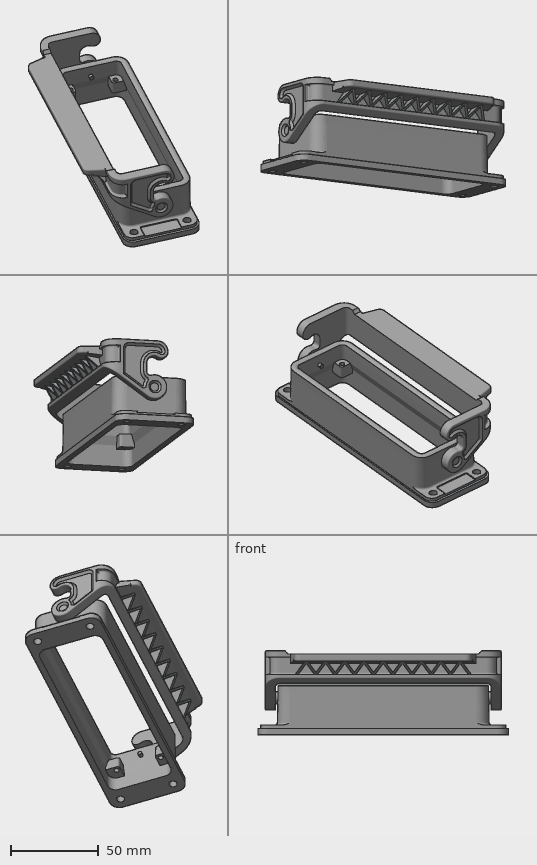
import cadquery as cq
import math

FLANGE_X, FLANGE_Y = 142.5, 45.7
FLANGE_TOP = 3.65
FLANGE_CORNER = 6.0
STEP_X = 139.6
STEP_TOP = 5.65
STEP_CORNER = 5.0
MOUNT_HOLE_X, MOUNT_HOLE_Y = 65.0, 16.0
MOUNT_HOLE_DIA = 4.5
PAD_INNER_X = 61.8
PAD_WIDTH = 22.2
PAD_DEPTH = 0.7
PAD_CORNER = 1.0

HOUSING_TOP = 28.4
MATING_Z = 23.2
HOUSING_X, HOUSING_Y = 119.8, 43.0
HOUSING_CORNER = 7.1
HOUSING_DRAFT = 1.2
BASE_FILLET = 1.25
RIM_WIDTH = 4.0
RIM_DOME = 0.55
CAVITY_RELIEF = 1.6
RELIEF_TOP = 17.3
RELIEF_BOTTOM = 12.1

POST_INNER_X, POST_INNER_Y = 49.5, 10.9
POST_TOP, POST_BOTTOM = 17.5, 10.0
POST_CORNER = 1.5
POST_HOLE_X, POST_HOLE_Y = 52.05, 13.5
POST_HOLE_DIA = 2.9

HINGE_Z = 21.0
PIN_DIA = 2.4
PIN_INNER_X = 53.7
WASHER_DIA = 7.1
HINGE_SINK_DIA = 7.2
HINGE_FLOOR_DIA = 4.9
HINGE_SINK_DEPTH = 1.2

LEVER_OUTER_X, LEVER_INNER_X = 67.1, 61.3
LEVER_TOP = 47.8
BAR_FRONT_Y, BAR_BACK_Y = -28.8, -24.45
BAR_CORNER = 8.3
BAR_INNER_CORNER = 3.0
BAR_FRONT_BOTTOM = 32.2
LEVER_EDGE = 0.7
HUB_RADIUS = 7.0
HOOK_TIP_Y = 7.8
HOOK_TOP_RADIUS = 6.2
HOOK_TIP_RADIUS = 3.8
THROAT_WALL_Y = -4.7
THROAT_RADIUS = 4.5
NECK_FILLET = 2.0

GROOVE_DEPTH = 1.6
GROOVE_SIDE_DEPTH = 2.7
GROOVE_BOTTOM, GROOVE_TOP = 34.4, 44.1
GROOVE_END_Y = -20.5
GROOVE_FILLET = 0.8

RECESS_MARGIN = 2.0
RECESS_DEPTH = 1.6
RECESS_SLOPE = 1.4
RECESS_CORNER = 1.5
RECESS_TOP_CORNER = 3.5
RECESS_HUB_CORNER = 1.5
RECESS_HUB_RADIUS = 5.2
RECESS_PLATE_END_Y = -20.6

PADDLE_TIP_Y = -40.4
PADDLE_TOP, PADDLE_BOTTOM = 46.0, 41.7
PADDLE_ROOT_HALF, PADDLE_TIP_HALF = 52.8, 49.6
PADDLE_CORNER = 3.5
PADDLE_EDGE = 1.0
WEDGE_BOTTOM = 40.6
NOTCH_BOTTOM_HALF, NOTCH_TOP_HALF = 54.2, 56.0

RIB_PITCH = 10.93
RIB_PEAKS = 9
RIB_WIDTH = 1.3
RIB_BOTTOM, RIB_TOP = GROOVE_BOTTOM, PADDLE_BOTTOM
RIB_TIP_Y = -35.3

SIDES = (-1, 1)
EPS = 0.2


def rounded_block(size_x, size_y, bottom, top, corner):
    block = cq.Workplane("XY").workplane(offset=bottom).rect(size_x, size_y).extrude(top - bottom)
    return block.edges("|Z").fillet(corner)


def widen_down(block, height, draft):
    """Continue a block below its bottom face, each side leaning outward by the draft angle."""
    bottom = block.faces("<Z").wires().toPending().workplane()
    return bottom.extrude(height, combine=False, taper=-draft)


def polar(center, radius, degrees):
    angle = math.radians(degrees)
    return (center[0] + radius * math.cos(angle), center[1] + radius * math.sin(angle))


def toward(start, end, distance):
    """Point at a distance from start on the line to end."""
    length = math.dist(start, end)
    return tuple(s + (e - s) * distance / length for s, e in zip(start, end))


def x_cylinder(diameter, y, z, x_start, x_end):
    disc = cq.Workplane("YZ", origin=(x_start, 0, 0)).center(y, z).circle(diameter / 2)
    return disc.extrude(x_end - x_start)


def flange_with_walls():
    """Solid flange, its raised step and the drafted housing block."""
    flange = rounded_block(FLANGE_X, FLANGE_Y, 0, FLANGE_TOP, FLANGE_CORNER)

    plate = cq.Workplane("XY").workplane(offset=FLANGE_TOP - EPS)
    plate = plate.rect(2 * FLANGE_X, 2 * FLANGE_Y).extrude(STEP_TOP - FLANGE_TOP + EPS)
    outline = rounded_block(HOUSING_X, HOUSING_Y, MATING_Z, HOUSING_TOP - RIM_DOME, HOUSING_CORNER)
    skirt = widen_down(outline, MATING_Z - FLANGE_TOP, HOUSING_DRAFT)
    walls = plate.union(skirt)
    foot = cq.selectors.BoxSelector(
        (-FLANGE_X / 2, -FLANGE_Y / 2, STEP_TOP - EPS), (FLANGE_X / 2, FLANGE_Y / 2, STEP_TOP + EPS)
    )
    walls = walls.edges(foot).fillet(BASE_FILLET)
    step_y = HOUSING_Y + 2 * (MATING_Z - FLANGE_TOP) * math.tan(math.radians(HOUSING_DRAFT))
    step_base = rounded_block(STEP_X, step_y, FLANGE_TOP - EPS, FLANGE_TOP, STEP_CORNER)
    trim = step_base.faces(">Z").wires().toPending().workplane()
    trim = trim.extrude(MATING_Z - FLANGE_TOP, combine=False, taper=HOUSING_DRAFT)
    return flange.union(walls.intersect(trim)).union(outline)


def rim_dome():
    """Shallow rounded crown along the top of the housing wall."""
    mid_x = (HOUSING_X - RIM_WIDTH) / 2
    base = HOUSING_TOP - RIM_DOME
    half = RIM_WIDTH / 2
    middle = rounded_block(2 * mid_x, HOUSING_Y - RIM_WIDTH, base, HOUSING_TOP, HOUSING_CORNER - half)
    path = middle.faces("<Z").wires()
    profile = cq.Workplane("XZ").moveTo(mid_x - half, base)
    profile = profile.threePointArc((mid_x, HOUSING_TOP), (mid_x + half, base)).close()
    return profile.sweep(cq.Workplane(path.val()))


def cavity():
    """Opening through the housing: straight mouth, drafted throat, flare and wider lower room."""
    size_x = HOUSING_X - 2 * RIM_WIDTH
    size_y = HOUSING_Y - 2 * RIM_WIDTH
    mouth = rounded_block(size_x, size_y, MATING_Z, HOUSING_TOP, HOUSING_CORNER - RIM_WIDTH)
    throat = widen_down(mouth, MATING_Z - RELIEF_TOP, HOUSING_DRAFT)
    flare_height = RELIEF_TOP - RELIEF_BOTTOM
    flare = widen_down(throat, flare_height, math.degrees(math.atan2(CAVITY_RELIEF, flare_height)))
    room = widen_down(flare, RELIEF_BOTTOM, 0)
    return mouth.union(throat).union(flare).union(room)


def screw_posts():
    posts = cq.Workplane("XY")
    outer_x = (HOUSING_X - RIM_WIDTH) / 2
    outer_y = (HOUSING_Y - RIM_WIDTH) / 2
    size_x = outer_x - POST_INNER_X
    size_y = outer_y - POST_INNER_Y
    for sx in SIDES:
        for sy in SIDES:
            center = (sx * (outer_x - size_x / 2), sy * (outer_y - size_y / 2), POST_BOTTOM)
            post = cq.Workplane("XY", origin=center).rect(size_x, size_y).extrude(POST_TOP - POST_BOTTOM)
            inner_x = "<X" if sx > 0 else ">X"
            inner_y = "<Y" if sy > 0 else ">Y"
            posts = posts.add(post.edges("|Z").edges(inner_x).edges(inner_y).fillet(POST_CORNER))
    holes = cq.Workplane("XY").workplane(offset=POST_BOTTOM)
    holes = holes.rect(2 * POST_HOLE_X, 2 * POST_HOLE_Y, forConstruction=True).vertices()
    holes = holes.circle(POST_HOLE_DIA / 2).extrude(POST_TOP - POST_BOTTOM)
    return posts.combine().cut(holes)


def flange_cuts():
    """Mounting holes and the shallow label pads at both ends."""
    cuts = cq.Workplane("XY").rect(2 * MOUNT_HOLE_X, 2 * MOUNT_HOLE_Y, forConstruction=True).vertices()
    cuts = cuts.circle(MOUNT_HOLE_DIA / 2).extrude(STEP_TOP)
    pad_length = FLANGE_X / 2 - PAD_INNER_X
    for side in SIDES:
        center_x = side * (PAD_INNER_X + pad_length / 2)
        pad = cq.Workplane("XY", origin=(center_x, 0, STEP_TOP - PAD_DEPTH))
        pad = pad.rect(pad_length, PAD_WIDTH).extrude(PAD_DEPTH)
        pad = pad.edges("|Z").edges("<X" if side > 0 else ">X").fillet(PAD_CORNER)
        cuts = cuts.union(pad)
    return cuts


def housing():
    body = flange_with_walls().cut(cavity()).union(rim_dome())
    return body.union(screw_posts()).cut(flange_cuts())


def lever_side():
    """Side shape of the lever in the YZ plane: hub, slanted underside, nose, hook and throat."""
    hub = (0, HINGE_Z)
    nose = (BAR_FRONT_Y, BAR_FRONT_BOTTOM)
    nose_angle = math.degrees(math.atan2(nose[1] - hub[1], nose[0] - hub[0]))
    tangent_angle = nose_angle + math.degrees(math.acos(HUB_RADIUS / math.dist(hub, nose)))
    underside_start = polar(hub, HUB_RADIUS, tangent_angle)

    top_center = (HOOK_TIP_Y - HOOK_TOP_RADIUS, LEVER_TOP - HOOK_TOP_RADIUS)
    tip_center = (HOOK_TIP_Y - HOOK_TIP_RADIUS, top_center[1])
    throat_y = THROAT_WALL_Y + THROAT_RADIUS
    reach = HOOK_TIP_RADIUS + THROAT_RADIUS
    throat = (throat_y, tip_center[1] - math.sqrt(reach**2 - (tip_center[0] - throat_y) ** 2))
    hook_to_throat = toward(tip_center, throat, HOOK_TIP_RADIUS)

    neck_y = THROAT_WALL_Y + NECK_FILLET
    neck = (neck_y, HINGE_Z + math.sqrt((HUB_RADIUS + NECK_FILLET) ** 2 - neck_y**2))
    neck_to_hub = toward(hub, neck, HUB_RADIUS)

    return (
        cq.Workplane("YZ", origin=(-LEVER_OUTER_X, 0, 0))
        .moveTo(*underside_start)
        .lineTo(*nose)
        .lineTo(BAR_FRONT_Y, LEVER_TOP)
        .lineTo(top_center[0], LEVER_TOP)
        .threePointArc(polar(top_center, HOOK_TOP_RADIUS, 45), (HOOK_TIP_Y, top_center[1]))
        .threePointArc(polar(tip_center, HOOK_TIP_RADIUS, -60), hook_to_throat)
        .threePointArc(polar(throat, THROAT_RADIUS, 135), (THROAT_WALL_Y, throat[1]))
        .lineTo(THROAT_WALL_Y, neck[1])
        .threePointArc(polar(neck, NECK_FILLET, 225), neck_to_hub)
        .threePointArc(polar(hub, HUB_RADIUS, 0), underside_start)
        .close()
    )


def lever_plan(half_width, front_y, corner):
    """Block from the front of the bar to past the hook, with rounded front corners."""
    length = 2 * HOOK_TIP_Y - front_y
    block = cq.Workplane("XY", origin=(0, front_y + length / 2, 0)).rect(2 * half_width, length)
    return block.extrude(LEVER_TOP).edges("|Z and <Y").fillet(corner)


def lever_frame():
    """Two hooked arms joined by the crossbar, with rounded outer edges."""
    outside = lever_plan(LEVER_OUTER_X, BAR_FRONT_Y, BAR_CORNER)
    frame = lever_side().extrude(2 * LEVER_OUTER_X).intersect(outside)
    corner_y = BAR_FRONT_Y + BAR_CORNER
    rims = frame.faces("<X or >X").edges()
    frame = rims.filter(lambda edge: abs(edge.Center().y - corner_y) > EPS).fillet(LEVER_EDGE)
    return frame.cut(lever_plan(LEVER_INNER_X, BAR_BACK_Y, BAR_INNER_CORNER))


def bar_groove():
    """Band cut around the front and corners of the bar, rounded where walls meet floor."""
    length = GROOVE_END_Y - BAR_FRONT_Y
    band = cq.Workplane("XY", origin=(0, GROOVE_END_Y - length / 2, GROOVE_BOTTOM))
    band = band.rect(2 * LEVER_OUTER_X, length).extrude(GROOVE_TOP - GROOVE_BOTTOM)
    floor_x = LEVER_OUTER_X - GROOVE_SIDE_DEPTH
    floor_y = BAR_FRONT_Y + GROOVE_DEPTH
    band = band.cut(lever_plan(floor_x, floor_y, BAR_CORNER - GROOVE_SIDE_DEPTH))
    floor_edges = band.edges(cq.selectors.BoxSelector(
        (-floor_x - EPS, floor_y - EPS, 0), (floor_x + EPS, 0, LEVER_TOP)
    ))
    return floor_edges.fillet(GROOVE_FILLET)


def bar_notch():
    """Lowers the middle of the bar to the paddle surface."""
    notch = cq.Workplane("XZ", origin=(0, BAR_BACK_Y + EPS, 0))
    notch = notch.moveTo(-NOTCH_BOTTOM_HALF, PADDLE_TOP).lineTo(NOTCH_BOTTOM_HALF, PADDLE_TOP)
    notch = notch.lineTo(NOTCH_TOP_HALF, LEVER_TOP).lineTo(-NOTCH_TOP_HALF, LEVER_TOP).close()
    return notch.extrude(BAR_BACK_Y - BAR_FRONT_Y + 2 * EPS)


def round_uprights(area, radius, chosen):
    """Round the X-direction edges whose (y, z) place is chosen."""
    uprights = area.edges("|X").filter(lambda edge: chosen(edge.Center().y, edge.Center().z))
    return uprights.fillet(radius)


def arm_recess():
    """Recess with sloped walls in the -X face, kept clear of the hub."""
    plate = lever_side().extrude(RECESS_DEPTH)
    behind_bar = cq.Workplane("YZ", origin=(-LEVER_OUTER_X, 0, 0)).moveTo(RECESS_PLATE_END_Y, 0)
    behind_bar = behind_bar.rect(HOOK_TIP_Y - RECESS_PLATE_END_Y, LEVER_TOP, centered=False)
    plate = plate.intersect(behind_bar.extrude(RECESS_DEPTH))
    outline = plate.faces("<X").wires().val().offset2D(-RECESS_MARGIN)[0]
    area = cq.Workplane(cq.Solid.extrudeLinear(outline, [], cq.Vector(RECESS_DEPTH, 0, 0)))
    floor_x = -LEVER_OUTER_X + RECESS_DEPTH
    area = area.cut(x_cylinder(2 * RECESS_HUB_RADIUS, 0, HINGE_Z, -LEVER_OUTER_X, floor_x))

    front_y = RECESS_PLATE_END_Y + RECESS_MARGIN + EPS
    split_z = (LEVER_TOP + HINGE_Z) / 2
    hub_reach = RECESS_HUB_RADIUS + EPS
    area = round_uprights(area, RECESS_TOP_CORNER, lambda y, z: y < front_y and z > split_z)
    area = round_uprights(area, RECESS_HUB_CORNER, lambda y, z: math.hypot(y, z - HINGE_Z) < hub_reach)
    area = round_uprights(area, RECESS_CORNER, lambda y, z: y < front_y and z < split_z)
    return area.faces(">X").edges().chamfer(RECESS_SLOPE)


def hinge_sink():
    """Conical dimple over the hinge pin in the -X face."""
    start = cq.Workplane("YZ", origin=(-LEVER_OUTER_X, 0, 0)).center(0, HINGE_Z)
    start = start.circle(HINGE_SINK_DIA / 2).workplane(offset=HINGE_SINK_DEPTH)
    return start.circle(HINGE_FLOOR_DIA / 2).loft()


def paddle_plan(bottom, top):
    plan = (
        cq.Workplane("XY", origin=(0, 0, bottom))
        .moveTo(-PADDLE_ROOT_HALF, BAR_BACK_Y - EPS)
        .lineTo(-PADDLE_ROOT_HALF, BAR_FRONT_Y)
        .lineTo(-PADDLE_TIP_HALF, PADDLE_TIP_Y)
        .lineTo(PADDLE_TIP_HALF, PADDLE_TIP_Y)
        .lineTo(PADDLE_ROOT_HALF, BAR_FRONT_Y)
        .lineTo(PADDLE_ROOT_HALF, BAR_BACK_Y - EPS)
        .close()
        .extrude(top - bottom)
    )
    return plan.edges("|Z and <Y").fillet(PADDLE_CORNER)


def paddle():
    """Rounded finger blade thickened toward its root by a wedge underneath."""
    blade = paddle_plan(PADDLE_BOTTOM, PADDLE_TOP).faces("<Y").edges("|X").fillet(PADDLE_EDGE)
    wedge_top = PADDLE_BOTTOM + PADDLE_EDGE
    wedge = (
        cq.Workplane("YZ", origin=(-PADDLE_ROOT_HALF, 0, 0))
        .moveTo(BAR_BACK_Y - EPS, wedge_top)
        .lineTo(RIB_TIP_Y, wedge_top)
        .lineTo(RIB_TIP_Y, PADDLE_BOTTOM)
        .lineTo(BAR_FRONT_Y + GROOVE_DEPTH, WEDGE_BOTTOM)
        .lineTo(BAR_BACK_Y - EPS, WEDGE_BOTTOM)
        .close()
        .extrude(2 * PADDLE_ROOT_HALF)
    )
    return blade.union(wedge.intersect(paddle_plan(WEDGE_BOTTOM, PADDLE_TOP)))


def zigzag_ribs():
    """Row of leaning ribs, clipped to a triangle between the bar and the paddle."""
    web = (
        cq.Workplane("YZ", origin=(-LEVER_INNER_X, 0, 0))
        .moveTo(BAR_BACK_Y - EPS, RIB_BOTTOM)
        .lineTo(BAR_FRONT_Y, RIB_BOTTOM)
        .lineTo(RIB_TIP_Y, RIB_TOP + EPS)
        .lineTo(BAR_BACK_Y - EPS, RIB_TOP + EPS)
        .close()
        .extrude(2 * LEVER_INNER_X)
    )
    half_pitch = RIB_PITCH / 2
    height = RIB_TOP - RIB_BOTTOM
    lean = math.degrees(math.atan2(height, half_pitch))
    length = math.hypot(height, half_pitch) + RIB_WIDTH
    middle_z = (RIB_TOP + RIB_BOTTOM) / 2
    bars = web.newObject([])
    for index in range(2 * RIB_PEAKS):
        center_x = half_pitch * (index - RIB_PEAKS + 0.5)
        turn = lean if index % 2 == 0 else -lean
        bar = cq.Workplane("XZ", origin=(center_x, BAR_BACK_Y, middle_z))
        bar = bar.transformed(rotate=(0, 0, turn)).rect(length, RIB_WIDTH)
        bars = bars.add(bar.extrude(BAR_BACK_Y - RIB_TIP_Y))
    return web.intersect(bars.combine())


def lever():
    body = lever_frame().cut(bar_groove()).cut(bar_notch()).union(paddle()).union(zigzag_ribs())
    cuts = arm_recess().union(hinge_sink())
    return body.cut(cuts).cut(cuts.mirror("YZ"))


def hinge_pin():
    """Washer and pin that join the -X arm to the housing wall."""
    washer = x_cylinder(WASHER_DIA, 0, HINGE_Z, -LEVER_INNER_X - EPS, -HOUSING_X / 2 + EPS)
    return washer.union(x_cylinder(PIN_DIA, 0, HINGE_Z, -LEVER_INNER_X, -PIN_INNER_X))


pin = hinge_pin()
result = housing().union(lever()).union(pin).union(pin.mirror("YZ"))